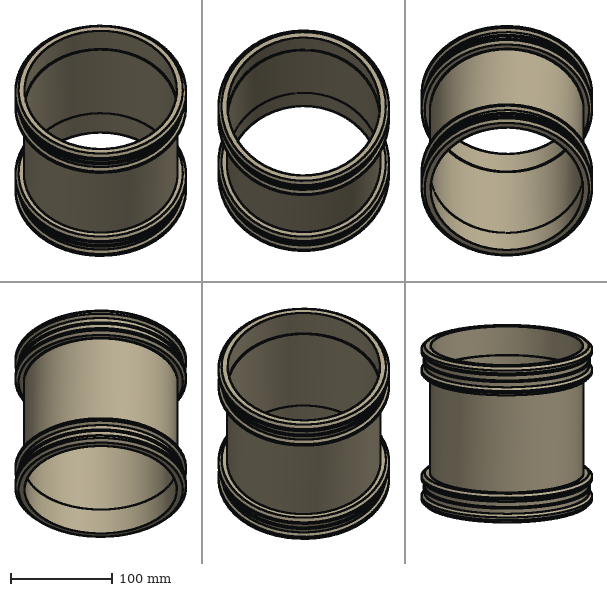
import cadquery as cq

total_height = 158.8
collar_height = 29.3
tube_height = total_height - 2 * collar_height

bore_radius = 150.0 / 2
tube_radius = 151.7 / 2
groove_radius = 161.8 / 2
flange_radius = 168.4 / 2
ridge_radius = 164.4 / 2

outer_land = 2.9
inner_land = 2.0
end_bevel = 3.2
outer_flange_height = 9.0
inner_flange_height = 8.3
ridge_height = 1.7


def collar_profile(end_z, inward):
    """Half section of a collar; inward is the Z direction from its open end towards the tube."""
    groove_start = outer_flange_height
    groove_end = collar_height - inner_flange_height
    ridge_middle = (groove_start + groove_end) / 2
    section = [
        (bore_radius, 0),
        (groove_radius, 0),
        (flange_radius, end_bevel),
        (flange_radius, end_bevel + outer_land),
        (groove_radius, groove_start),
        (groove_radius, ridge_middle - ridge_height / 2),
        (ridge_radius, ridge_middle),
        (groove_radius, ridge_middle + ridge_height / 2),
        (groove_radius, groove_end),
        (flange_radius, collar_height - end_bevel - inner_land),
        (flange_radius, collar_height - end_bevel),
        (groove_radius, collar_height),
        (bore_radius, collar_height),
    ]
    return [(radius, end_z + inward * depth) for radius, depth in section]


def make_collar(end_z, inward):
    """Grooved collar revolved about the Z axis."""
    profile = cq.Workplane("XZ").polyline(collar_profile(end_z, inward)).close()
    return profile.revolve(360, (0, 0, 0), (0, 1, 0))


def make_tube_body():
    """Thin tube with a collar formed on its lower end."""
    tube = (
        cq.Workplane("XY", origin=(0, 0, -tube_height / 2))
        .circle(tube_radius)
        .circle(bore_radius)
        .extrude(tube_height)
    )
    return tube.union(make_collar(-total_height / 2, 1))


tube_body = make_tube_body()
top_collar = make_collar(total_height / 2, -1)

result = cq.Compound.makeCompound([tube_body.val(), top_collar.val()])